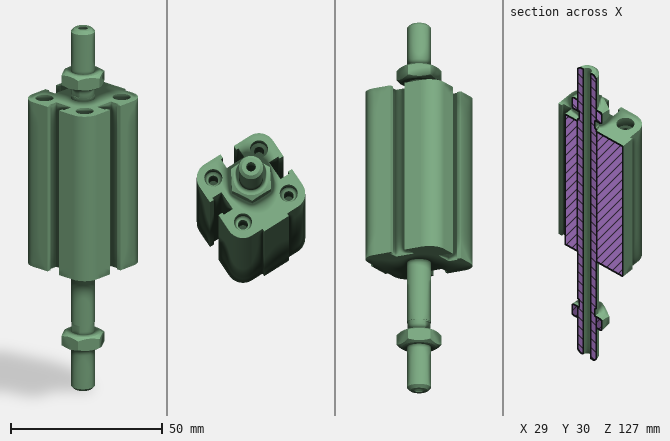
import cadquery as cq
import math


body_width = 29.0
corner_radius = 5.5
body_bottom = -19.0
body_top = 39.0
body_height = body_top - body_bottom
pad_width = 9.7
pad_height = 1.0

slot_opening = 5.2
slot_inner_width = 6.9
slot_depth = 5.1
slot_lip = 1.5
slot_side_angles = (0, 180, 270)

screw_spacing = 18.0
screw_hole_diameter = 3.3
screw_hole_depth = 10.2
counterbore_diameter = 6.0
counterbore_depth = 3.4

rod_length = 127.0
rod_half = rod_length / 2
rod_diameter = 8.0
rod_bore = 3.2
neck_diameter = 7.7
neck_start = 39.9
flats_width = 7.0
flats_start = 40.3
stud_diameter = rod_diameter
tip_diameter = 6.0
tip_chamfer = 1.0

nut_across_flats = 13.0
nut_across_corners = nut_across_flats / math.cos(math.radians(30))
nut_thickness = 5.1
nut_inner_z = 43.4
nut_face_diameter = 11.5
nut_bevel_angle = 30


def cylinder(diameter, bottom, top):
    """Round bar on the rod axis between two heights."""
    return cq.Workplane("XY").workplane(offset=bottom).circle(diameter / 2).extrude(top - bottom)


def make_slot_cutter(angle):
    """T-slot over the full housing height, in the side that faces `angle` degrees from +X."""
    outer_x = body_width / 2
    floor_x = outer_x - slot_depth
    lip_x = outer_x - slot_lip
    half_opening = slot_opening / 2
    half_inner = slot_inner_width / 2
    profile = [
        (floor_x, -half_inner),
        (lip_x, -half_inner),
        (lip_x, -half_opening),
        (outer_x, -half_opening),
        (outer_x, half_opening),
        (lip_x, half_opening),
        (lip_x, half_inner),
        (floor_x, half_inner),
    ]
    cutter = cq.Workplane("XY").workplane(offset=body_bottom).polyline(profile).close().extrude(body_height)
    return cutter.rotate((0, 0, 0), (0, 0, 1), angle)


def make_housing():
    """Square housing with a raised +Y pad, T-slots, screw holes and the rod passage."""
    base = cq.Workplane("XY").workplane(offset=body_bottom)
    housing = base.rect(body_width, body_width).extrude(body_height).edges("|Z").fillet(corner_radius)

    pad = base.center(0, body_width / 2).rect(pad_width, 2 * pad_height).extrude(body_height)
    housing = housing.union(pad)

    for angle in slot_side_angles:
        housing = housing.cut(make_slot_cutter(angle))

    housing = (
        housing.faces(">Z")
        .workplane(origin=(0, 0, body_top))
        .rect(screw_spacing, screw_spacing, forConstruction=True)
        .vertices()
        .cboreHole(screw_hole_diameter, counterbore_diameter, counterbore_depth, screw_hole_depth)
    )
    return housing.cut(cylinder(rod_diameter, body_bottom, body_top))


def make_rod_end():
    """Upper rod end: a neck with two wrench flats facing Y, then a stud with a chamfered tip."""
    neck = cylinder(neck_diameter, neck_start, nut_inner_z)
    flats_length = nut_inner_z - flats_start
    outside_flats = (
        cq.Workplane("XY")
        .workplane(offset=flats_start)
        .rect(rod_diameter, rod_diameter)
        .rect(rod_diameter, flats_width)
        .extrude(flats_length)
    )
    neck = neck.cut(outside_flats)

    tip_step = (stud_diameter - tip_diameter) / 2
    stud = cylinder(stud_diameter, nut_inner_z, rod_half).faces(">Z").edges().chamfer(tip_chamfer, tip_step)
    return neck.union(stud)


def make_rod():
    """Plain rod with an identical end above and below, bored through."""
    upper_end = make_rod_end()
    lower_end = upper_end.mirror("XY")
    rod = cylinder(rod_diameter, -neck_start, neck_start).union(upper_end).union(lower_end)
    return rod.cut(cylinder(rod_bore, -rod_half, rod_half))


def make_nut(center_z):
    """Hexagonal nut with both faces bevelled and two corners on the X axis."""
    half_thickness = nut_thickness / 2
    face_radius = nut_face_diameter / 2
    hexagon_radius = nut_across_corners / 2
    bevel_drop = (hexagon_radius - face_radius) * math.tan(math.radians(nut_bevel_angle))
    bevel_z = half_thickness - bevel_drop

    hexagon = cq.Workplane("XY").polygon(6, nut_across_corners).extrude(half_thickness, both=True)
    half_section = [
        (0, -half_thickness),
        (face_radius, -half_thickness),
        (hexagon_radius, -bevel_z),
        (hexagon_radius, bevel_z),
        (face_radius, half_thickness),
        (0, half_thickness),
    ]
    bevelled_disc = cq.Workplane("XZ").polyline(half_section).close().revolve(360, (0, 0, 0), (0, 1, 0))
    stud_hole = cylinder(stud_diameter, -half_thickness, half_thickness)
    return hexagon.intersect(bevelled_disc).cut(stud_hole).translate((0, 0, center_z))


housing = make_housing()
rod = make_rod()
nut_center_z = nut_inner_z + nut_thickness / 2
nuts = [make_nut(end * nut_center_z) for end in (-1, 1)]

result = cq.Compound.makeCompound([housing.val(), rod.val(), *[nut.val() for nut in nuts]])